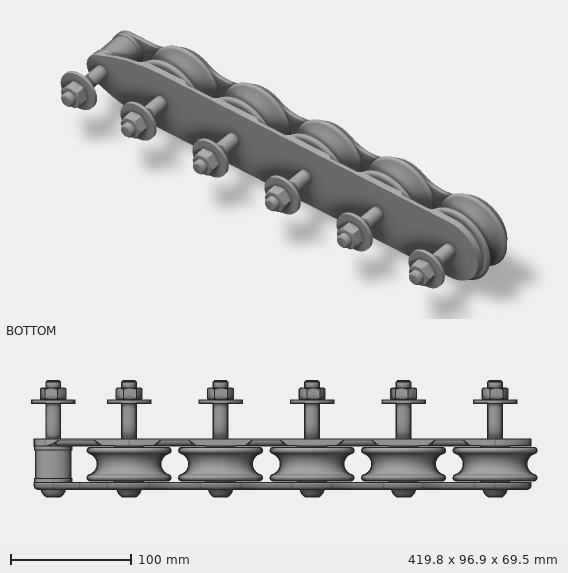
import cadquery as cq
import math


roller_count = 5
roller_pitch = 76.0
end_gap = 63.0
last_roller_x = 175.0
first_roller_x = last_roller_x - (roller_count - 1) * roller_pitch
spacer_x = first_roller_x - end_gap
roller_xs = [first_roller_x + i * roller_pitch for i in range(roller_count)]

plate_width = 60.0
plate_thickness = 6.0
lobe = plate_width / 2
front_plate_round = 4.5
back_plate_round = 3.8
scallop_radius = 37.5
nose_diameter = 32.0
nose = nose_diameter / 2

roller_pad_base_radius = 40.7
spacer_pad_base_radius = 20.5
pad_taper = 4.5

roller_diameter = 69.5
roller_neck_diameter = 53.0
roller_width = 27.5
rim_round = 2.5
hub_diameter = 24.5
hub_gap = 1.3

spacer_diameter = 30.0
collar_diameter = 31.5
collar_width = 3.5

bolt_diameter = 12.0
bolt_end_y = -48.3
bolt_chamfer = 1.3
head_diameter = 20.0
head_top_diameter = 11.0
head_height = 6.5
head_bulge = 0.65
washer_diameter = 36.0
washer_thickness = 3.0
nut_across_flats = 19.0
nut_height = 10.0
nut_face_y = -32.5
nut_bevel_height = 1.3
nut_bevel_width = 1.5
nut_turns = [-10, 4, 3, 8, -9, 8]

front_outer_y = 0.0
front_inner_y = front_outer_y + plate_thickness
roller_front_y = front_inner_y + hub_gap
roller_back_y = roller_front_y + roller_width
back_inner_y = roller_back_y + hub_gap
back_outer_y = back_inner_y + plate_thickness


def revolved(profile, x):
    """Turn a (radius, Y) profile about the Y axis and move it to the axle at x."""
    return profile.close().revolve(360, (0, 0, 0), (0, 1, 0)).translate((x, 0, 0))


def on_circle(x, z, radius, angle):
    """Point of the circle around (x, z); the angle is measured from +X toward +Z."""
    return (x + radius * math.cos(angle), z + radius * math.sin(angle))


def plate(flank, y_start):
    """Plate with a round end at the spacer and another at the last roller.

    The flank is the upper edge between the two ends, as a start point and a list of
    (middle, end) pairs: an arc through the middle, or a line if the middle is None.
    The lower edge is its mirror image.
    """
    start, pieces = flank
    outline = cq.Workplane("XZ", origin=(0, y_start, 0)).moveTo(*start)
    for middle, end in pieces:
        outline = add_piece(outline, middle, end)
    lower_start = (pieces[-1][1][0], -pieces[-1][1][1])
    outline = outline.threePointArc((last_roller_x + lobe, 0), lower_start)
    ends = [start] + [end for middle, end in pieces[:-1]]
    for (middle, _), end in reversed(list(zip(pieces, ends))):
        lower_middle = middle and (middle[0], -middle[1])
        outline = add_piece(outline, lower_middle, (end[0], -end[1]))
    return outline.threePointArc((spacer_x - nose, 0), start).close().extrude(-plate_thickness)


def add_piece(outline, middle, end):
    """Continue the outline with an arc, or with a line if there is no middle point."""
    if middle is None:
        return outline.lineTo(*end)
    return outline.threePointArc(middle, end)


def front_plate_blank():
    """Straight-edged plate whose flanks curve into the nose."""
    flank_radius = (end_gap**2 + lobe**2 - nose**2) / (2 * (lobe - nose))
    flank_z = lobe - flank_radius
    nose_angle = math.pi - math.atan2(-flank_z, end_gap)
    middle_angle = (nose_angle + math.pi / 2) / 2
    flank_middle = on_circle(first_roller_x, flank_z, flank_radius, middle_angle)
    pieces = [
        (flank_middle, (first_roller_x, lobe)),
        (None, (last_roller_x, lobe)),
    ]
    return plate((on_circle(spacer_x, 0, nose, nose_angle), pieces), front_outer_y)


def back_plate():
    """Plate with a straight neck, a lobe around every roller and scallops in between."""
    reach = lobe + scallop_radius
    neck_scallop_z = nose + scallop_radius
    neck_angle = math.asin(neck_scallop_z / reach)
    neck_end_x = first_roller_x - reach * math.cos(neck_angle)
    neck_middle_angle = -(math.pi / 2 + neck_angle) / 2
    lobe_angle = math.acos(roller_pitch / 2 / reach)
    scallop_z = reach * math.sin(lobe_angle)
    pieces = [
        (None, (neck_end_x, nose)),
        (
            on_circle(neck_end_x, neck_scallop_z, scallop_radius, neck_middle_angle),
            on_circle(first_roller_x, 0, lobe, math.pi - neck_angle),
        ),
    ]
    for x, next_x in zip(roller_xs, roller_xs[1:]):
        scallop_bottom = (x + roller_pitch / 2, scallop_z - scallop_radius)
        scallop_end = on_circle(next_x, 0, lobe, math.pi - lobe_angle)
        pieces.append(((x, lobe), on_circle(x, 0, lobe, lobe_angle)))
        pieces.append((scallop_bottom, scallop_end))
    crown_middle = on_circle(last_roller_x, 0, lobe, 5 * math.pi / 8)
    pieces.append((crown_middle, (last_roller_x, lobe)))
    blank = plate(((spacer_x, nose), pieces), back_inner_y)
    return blank.faces(">Y").edges().fillet(back_plate_round)


def pad(x, base_radius):
    """Tapered disc as thick as the front plate."""
    top_radius = base_radius - pad_taper
    profile = (
        cq.Workplane("XY")
        .moveTo(0, front_outer_y)
        .lineTo(base_radius, front_outer_y)
        .lineTo(top_radius, front_inner_y)
        .lineTo(0, front_inner_y)
    )
    return revolved(profile, x)


def front_plate():
    blank = front_plate_blank()
    pads = pad(spacer_x, spacer_pad_base_radius)
    for x in roller_xs:
        pads = pads.union(pad(x, roller_pad_base_radius))
    return blank.faces(">Y").edges().fillet(front_plate_round).union(pads.intersect(blank))


def roller(x):
    """Roller with rounded rims that flow into a round groove."""
    neck = roller_neck_diameter / 2
    rim_center = roller_diameter / 2 - rim_round
    middle_y = (roller_front_y + roller_back_y) / 2
    rim_offset = roller_width / 2 - rim_round
    depth = rim_center - neck
    groove = (depth**2 + rim_offset**2 - rim_round**2) / (2 * (depth + rim_round))
    groove_center = neck + groove
    toward_radius = (groove_center - rim_center) / (groove + rim_round)
    toward_middle = rim_offset / (groove + rim_round)
    join_radius = rim_center + rim_round * toward_radius
    join_offset = rim_offset - rim_round * toward_middle
    rim_tip = roller_diameter / 2
    profile = (
        cq.Workplane("XY")
        .moveTo(0, roller_front_y)
        .lineTo(rim_center, roller_front_y)
        .threePointArc((rim_tip, middle_y - rim_offset), (join_radius, middle_y - join_offset))
        .threePointArc((neck, middle_y), (join_radius, middle_y + join_offset))
        .threePointArc((rim_tip, middle_y + rim_offset), (rim_center, roller_back_y))
        .lineTo(0, roller_back_y)
    )
    return revolved(profile, x)


def spacer():
    """Plain sleeve with a wider collar against each plate."""
    collar = collar_diameter / 2
    sleeve = spacer_diameter / 2
    front_step_y = front_inner_y + collar_width
    back_step_y = back_inner_y - collar_width
    profile = (
        cq.Workplane("XY")
        .moveTo(0, front_inner_y)
        .lineTo(collar, front_inner_y)
        .lineTo(collar, front_step_y)
        .lineTo(sleeve, front_step_y)
        .lineTo(sleeve, back_step_y)
        .lineTo(collar, back_step_y)
        .lineTo(collar, back_inner_y)
        .lineTo(0, back_inner_y)
    )
    return revolved(profile, spacer_x)


def bolt(x):
    """Bolt with chamfered end and domed head, its washer, and the hub between the plates."""
    shank = bolt_diameter / 2
    hub = hub_diameter / 2
    washer = washer_diameter / 2
    head = head_diameter / 2
    head_top = head_top_diameter / 2
    head_top_y = back_outer_y + head_height
    head_arc_middle = (
        (head + head_top) / 2 + head_bulge,
        (back_outer_y + head_top_y) / 2 + head_bulge,
    )
    profile = (
        cq.Workplane("XY")
        .moveTo(0, bolt_end_y)
        .lineTo(shank - bolt_chamfer, bolt_end_y)
        .lineTo(shank, bolt_end_y + bolt_chamfer)
        .lineTo(shank, nut_face_y)
        .lineTo(washer, nut_face_y)
        .lineTo(washer, nut_face_y + washer_thickness)
        .lineTo(shank, nut_face_y + washer_thickness)
        .lineTo(shank, front_inner_y)
        .lineTo(hub, front_inner_y)
        .lineTo(hub, back_inner_y)
        .lineTo(shank, back_inner_y)
        .lineTo(shank, back_outer_y)
        .lineTo(head, back_outer_y)
        .threePointArc(head_arc_middle, (head_top, head_top_y))
        .lineTo(0, head_top_y)
    )
    return revolved(profile, x)


def nut(x, turn):
    """Hexagon nut with corners bevelled on both faces."""
    corner_diameter = nut_across_flats / math.cos(math.pi / 6)
    corner = corner_diameter / 2
    end_y = nut_face_y - nut_height
    hexagon = (
        cq.Workplane("XZ", origin=(x, nut_face_y, 0))
        .transformed(rotate=(0, 0, turn))
        .polygon(6, corner_diameter)
        .extrude(nut_height)
    )
    bevel_profile = (
        cq.Workplane("XY")
        .moveTo(0, end_y)
        .lineTo(corner - nut_bevel_width, end_y)
        .lineTo(corner, end_y + nut_bevel_height)
        .lineTo(corner, nut_face_y - nut_bevel_height)
        .lineTo(corner - nut_bevel_width, nut_face_y)
        .lineTo(0, nut_face_y)
    )
    return hexagon.intersect(revolved(bevel_profile, x))


def axle(x, middle, turn):
    """Everything on one bolt: roller or spacer, washer and nut."""
    return middle.union(bolt(x)).union(nut(x, turn))


spacer_axle = axle(spacer_x, spacer(), nut_turns[0])
result = front_plate().union(back_plate()).union(spacer_axle)
for roller_x, roller_turn in zip(roller_xs, nut_turns[1:]):
    result = result.union(axle(roller_x, roller(roller_x), roller_turn))